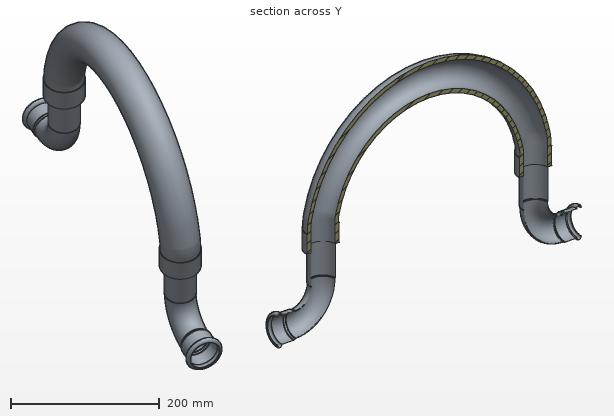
import cadquery as cq
import math

overall_length = 530.0
overall_height = 348.85
leg_offset = 185.0

tube_diameter = 55.0
end_bend_radius = 50.0
end_bend_angle = 12.0
stub_length = 6.0

pipe_bore = 41.0

collar_diameter = 57.0
collar_length = 30.0

leg_diameter = 44.0

elbow_diameter = 42.7
elbow_bore = 39.4
elbow_radius = 48.0
elbow_taper_length = 1.0

socket_diameter = 45.4
socket_bore = 42.7
mouth_diameter = 44.0
mouth_chamfer = (mouth_diameter - socket_bore) / 2
socket_taper_length = 3.2
bead_width = 9.0
bead_diameter = mouth_diameter + bead_width
seal_groove_radius = (bead_width - socket_diameter + socket_bore) / 2

end_x = overall_length / 2
angle = math.radians(end_bend_angle)
bend_center_x = leg_offset - end_bend_radius
main_radius = bend_center_x / math.cos(angle) + end_bend_radius
main_center_z = overall_height - bead_diameter / 2 - tube_diameter / 2 - main_radius
bend_start_z = main_center_z + (main_radius - end_bend_radius) * math.sin(angle)
collar_top_z = bend_start_z - stub_length
collar_bottom_z = collar_top_z - collar_length
elbow_end_x = leg_offset + elbow_radius
bead_center_x = end_x - bead_width / 2


def loop_tube(diameter):
    """Full large tube, swept from the left collar over the top to the right collar."""
    seam_x = main_radius * math.cos(angle)
    seam_z = main_center_z + main_radius * math.sin(angle)
    half = angle / 2
    mid_x = bend_center_x + end_bend_radius * math.cos(half)
    mid_z = bend_start_z + end_bend_radius * math.sin(half)
    path = (
        cq.Workplane("XZ")
        .moveTo(-leg_offset, collar_top_z)
        .lineTo(-leg_offset, bend_start_z)
        .threePointArc((-mid_x, mid_z), (-seam_x, seam_z))
        .threePointArc((0, main_center_z + main_radius), (seam_x, seam_z))
        .threePointArc((mid_x, mid_z), (leg_offset, bend_start_z))
        .lineTo(leg_offset, collar_top_z)
    )
    start = cq.Workplane("XY", origin=(-leg_offset, 0, collar_top_z))
    return start.circle(diameter / 2).sweep(path)


def leg_cylinder(diameter, bottom_z, top_z):
    """Vertical cylinder on the axis of the right leg."""
    base = cq.Workplane("XY", origin=(leg_offset, 0, bottom_z))
    return base.circle(diameter / 2).extrude(top_z - bottom_z)


def elbow(diameter):
    """Quarter bend from the foot of the right leg to the back of its socket."""
    base = cq.Workplane("XY", origin=(leg_offset, 0, elbow_radius))
    return base.circle(diameter / 2).revolve(90, (elbow_radius, 1), (elbow_radius, 0))


def leg_taper():
    """Short cone between the elbow and the wider leg."""
    base = cq.Workplane("XY", origin=(leg_offset, 0, elbow_radius))
    upper = base.circle(elbow_diameter / 2).workplane(offset=elbow_taper_length)
    return upper.circle(leg_diameter / 2).loft()


def socket_body():
    """Socket sleeve with its rear taper and the half-round bead at the mouth."""
    taper_end_x = elbow_end_x + socket_taper_length
    sleeve = (
        cq.Workplane("XZ")
        .moveTo(elbow_end_x, 0)
        .lineTo(elbow_end_x, elbow_diameter / 2)
        .lineTo(taper_end_x, socket_diameter / 2)
        .lineTo(bead_center_x, socket_diameter / 2)
        .lineTo(bead_center_x, 0)
        .close()
        .revolve(360, (0, 0), (1, 0))
    )
    bead = (
        cq.Workplane("XZ")
        .moveTo(end_x, 0)
        .lineTo(end_x, mouth_diameter / 2)
        .threePointArc(
            (bead_center_x, bead_diameter / 2),
            (end_x - bead_width, mouth_diameter / 2),
        )
        .lineTo(end_x - bead_width, 0)
        .close()
        .revolve(360, (0, 0), (1, 0))
    )
    return sleeve.union(bead)


def socket_hole():
    """Socket bore down to the elbow, opened by a chamfer at the mouth."""
    start_x = elbow_end_x + socket_taper_length
    return (
        cq.Workplane("XZ")
        .moveTo(elbow_end_x, 0)
        .lineTo(elbow_end_x, elbow_bore / 2)
        .lineTo(start_x, socket_bore / 2)
        .lineTo(end_x - mouth_chamfer, socket_bore / 2)
        .lineTo(end_x, mouth_diameter / 2)
        .lineTo(end_x, 0)
        .close()
        .revolve(360, (0, 0), (1, 0))
    )


def seal_groove():
    """Round ring groove inside the bead, leaving the bead with the wall of the socket."""
    return (
        cq.Workplane("XZ")
        .center(bead_center_x, mouth_diameter / 2)
        .circle(seal_groove_radius)
        .revolve(360, (0, -mouth_diameter / 2), (1, -mouth_diameter / 2))
    )


def leg_outside():
    """Outer shape of the right end: collar, leg, taper, elbow and socket."""
    taper_top_z = elbow_radius + elbow_taper_length
    collar = leg_cylinder(collar_diameter, collar_bottom_z, collar_top_z)
    leg = leg_cylinder(leg_diameter, taper_top_z, collar_bottom_z)
    return collar.union(leg).union(leg_taper()).union(elbow(elbow_diameter)).union(socket_body())


def leg_inside():
    """Hollow of the right end, from the collar to the socket mouth."""
    leg_hole = leg_cylinder(pipe_bore, elbow_radius, collar_top_z)
    return leg_hole.union(elbow(elbow_bore)).union(socket_hole()).union(seal_groove())


right_outside = leg_outside()
right_inside = leg_inside()
outside = loop_tube(tube_diameter).union(right_outside).union(right_outside.mirror("YZ"))
result = outside.cut(loop_tube(pipe_bore)).cut(right_inside).cut(right_inside.mirror("YZ"))